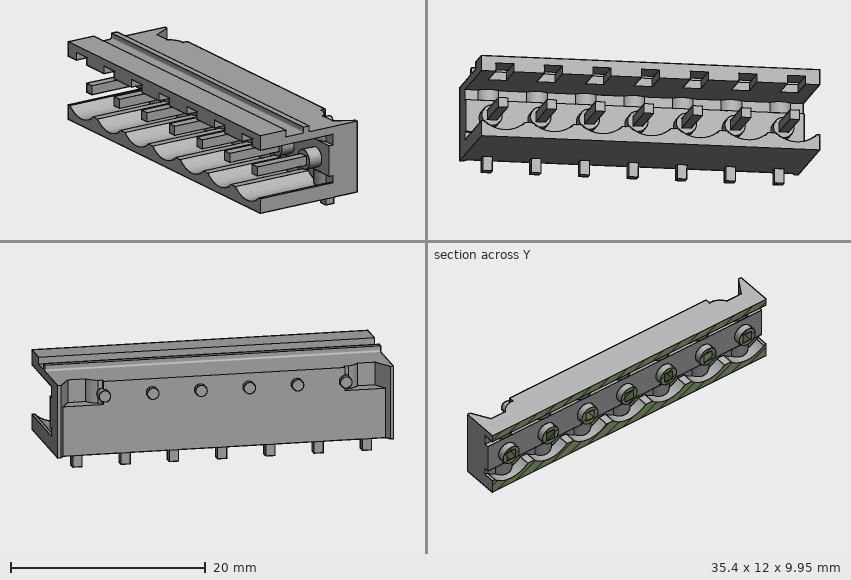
import cadquery as cq


pin_count = 7
pin_row_span = 30.48
pin_width = 1.0
pin_axis_z = 3.82
pin_tip_y = 0.95
tail_y = 9.9
tail_drop = 1.5

length = 35.35
depth = 12.0
plate_top_z = 7.7
lip_depth = 3.15
lip_rise = 0.75
floor_top_z = 1.6
ceiling_z = 6.85
wall_front_y = 8.52

ridge_front_y = 5.35
ridge_width = 0.7
ridge_rise = 0.65
ridge_root_radius = 0.2

band_bottom_z = 2.37
band_top_z = 5.7
setback = 0.5
column_width = 2.15
boss_diameter = 2.12
boss_length = 1.52

scallop_radius = 3.08
slot_width = 1.87
slot_depth = 4.1

back_y = 11.4
wing_tip_width = 0.35
notch_front_y = 9.97
notch_outer_x = 1.52
notch_inner_x = 3.35
notch_arc_end_x = 4.5
notch_arc_radius = 2.12
notch_step_y = 10.82
notch_floor_z = 5.3
notch_floor_drop = 0.05
peg_diameter = 1.2
peg_axis_z = 6.25

half_length = length / 2
pitch = pin_row_span / (pin_count - 1)
setback_y = wall_front_y + setback
pin_xs = [i * pitch - pin_row_span / 2 for i in range(pin_count)]
peg_xs = [x + pitch / 2 for x in pin_xs[:-1]]


def box_between(x0, x1, y0, y1, z0, z1):
    """Box given by its limits along each axis."""
    return cq.Workplane("XY").box(x1 - x0, y1 - y0, z1 - z0, centered=False).translate((x0, y0, z0))


def cylinder_along_y(x, z, diameter, y0, y1):
    """Cylinder with its axis along Y."""
    circle = cq.Workplane("XZ", origin=(x, y0, z)).circle(diameter / 2)
    return circle.extrude(y0 - y1)


def full_length_box(y0, y1, z0, z1):
    """Box running over the whole length of the housing."""
    return box_between(-half_length, half_length, y0, y1, z0, z1)


def ridge():
    """Rib along the top plate with a concave fillet at each side of its root."""
    r = ridge_root_radius
    y0 = ridge_front_y
    y1 = ridge_front_y + ridge_width
    z0 = plate_top_z
    z1 = plate_top_z + ridge_rise
    profile = (
        cq.Workplane("YZ", origin=(-half_length, 0, 0))
        .moveTo(y0 - r, z0)
        .radiusArc((y0, z0 + r), -r)
        .lineTo(y0, z1)
        .lineTo(y1, z1)
        .lineTo(y1, z0 + r)
        .radiusArc((y1 + r, z0), -r)
        .close()
    )
    return profile.extrude(length)


def column(x):
    """Upright half-round joining the set-back wall to the face of the band."""
    half_width = column_width / 2
    return (
        cq.Workplane("XY", origin=(x, 0, 0))
        .moveTo(-half_width, setback_y)
        .threePointArc((0, wall_front_y), (half_width, setback_y))
        .close()
        .extrude(ceiling_z)
    )


def corner_notch():
    """Notch behind the left end of the top plate, between the wing and the first peg."""
    step_x = peg_xs[0]
    outline = (
        cq.Workplane("XY", origin=(0, 0, notch_floor_z - notch_floor_drop))
        .moveTo(-half_length + wing_tip_width, depth)
        .lineTo(-half_length + notch_outer_x, notch_front_y)
        .lineTo(-half_length + notch_inner_x, notch_front_y)
        .radiusArc((-half_length + notch_arc_end_x, notch_step_y), notch_arc_radius)
        .lineTo(step_x, notch_step_y)
        .lineTo(step_x, depth)
        .close()
        .extrude(plate_top_z)
    )
    sloped_floor = (
        cq.Workplane("YZ", origin=(-half_length, 0, 0))
        .moveTo(notch_front_y, 0)
        .lineTo(notch_front_y, notch_floor_z)
        .lineTo(back_y, notch_floor_z - notch_floor_drop)
        .lineTo(back_y, 0)
        .close()
        .extrude(length)
    )
    return outline.cut(sloped_floor)


def back_recess():
    """Space behind the back face, between the two tapered wings."""
    taper = (notch_outer_x - wing_tip_width) / (depth - notch_front_y)
    tip_x = half_length - wing_tip_width
    root_x = tip_x - taper * (depth - back_y)
    corners = [(-tip_x, depth), (-root_x, back_y), (root_x, back_y), (tip_x, depth)]
    return cq.Workplane("XY").polyline(corners).close().extrude(plate_top_z)


def make_pin(x):
    """Square bent pin: a contact blade towards the front and a tail downwards."""
    half = pin_width / 2
    tail_back_y = tail_y + half
    blade = box_between(x - half, x + half, pin_tip_y, tail_back_y, pin_axis_z - half, pin_axis_z + half)
    tail = box_between(x - half, x + half, tail_y - half, tail_back_y, -tail_drop, pin_axis_z + half)
    return blade.union(tail)


def make_housing(pins):
    """Shrouded housing, open at the front and at both ends, with a passage for each pin."""
    body = full_length_box(0, depth, 0, plate_top_z)
    body = body.union(full_length_box(0, lip_depth, plate_top_z, plate_top_z + lip_rise))
    body = body.union(ridge())

    body = body.cut(full_length_box(0, wall_front_y, floor_top_z, ceiling_z))
    body = body.cut(full_length_box(0, setback_y, floor_top_z, band_bottom_z))
    body = body.cut(full_length_box(0, setback_y, band_top_z, ceiling_z))

    half_slot = slot_width / 2
    for x in pin_xs:
        scallop = cylinder_along_y(x, pin_axis_z, 2 * scallop_radius, 0, setback_y)
        body = body.cut(scallop.intersect(full_length_box(0, setback_y, 0, band_bottom_z)))
        body = body.cut(box_between(x - half_slot, x + half_slot, 0, slot_depth, ceiling_z, plate_top_z))
        body = body.union(column(x))
        boss_front_y = wall_front_y - boss_length
        body = body.union(cylinder_along_y(x, pin_axis_z, boss_diameter, boss_front_y, setback_y))

    notch = corner_notch()
    body = body.cut(back_recess()).cut(notch).cut(notch.mirror("YZ"))
    for x in peg_xs:
        body = body.union(cylinder_along_y(x, peg_axis_z, peg_diameter, notch_front_y, depth))

    for pin in pins:
        body = body.cut(pin)
    return body


pins = [make_pin(x) for x in pin_xs]
housing = make_housing(pins)

result = cq.Compound.makeCompound([housing.solids().val(), *[pin.solids().val() for pin in pins]])